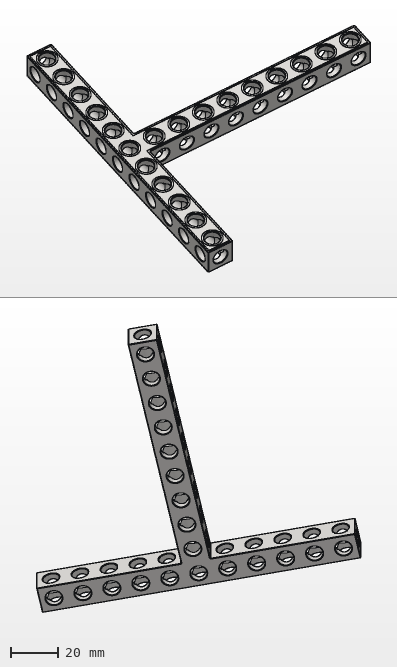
import cadquery as cq

bar_length = 137.5
bar_holes = 11
stem_holes = 10
pitch = bar_length / bar_holes
half_pitch = pitch / 2
height = pitch
stem_length = stem_holes * pitch

hole_diameter = 7.0
edge_chamfer = 0.3

rim_width = 1.0
panel_depth = 0.2
collar_diameter = 9.2

X_AXIS = cq.Vector(1, 0, 0)
Y_AXIS = cq.Vector(0, 1, 0)
Z_AXIS = cq.Vector(0, 0, 1)


def tee(inset, bottom, thickness):
    """T-shaped slab whose outline is drawn in by inset on every side."""
    width = pitch - 2 * inset
    base_centred = (True, True, False)
    bar = cq.Workplane("XY").box(bar_length - 2 * inset, width, thickness, centered=base_centred)
    stem_middle = (0, (stem_length - pitch) / 2, 0)
    stem = cq.Workplane("XY").box(width, stem_length - 2 * inset, thickness, centered=base_centred)
    return bar.union(stem.translate(stem_middle)).translate((0, 0, bottom))


def hole_cutter(start, axis, length):
    """Through hole from start along axis, with a chamfered mouth at both ends."""
    radius = hole_diameter / 2
    mouth_radius = radius + edge_chamfer
    end = start + axis * length
    bore = cq.Solid.makeCylinder(radius, length, start, axis)
    near_mouth = cq.Solid.makeCone(mouth_radius, radius, edge_chamfer, start, axis)
    far_mouth = cq.Solid.makeCone(mouth_radius, radius, edge_chamfer, end, axis * -1)
    return bore.fuse(near_mouth, far_mouth)


bar_columns = [(i - (bar_holes - 1) / 2) * pitch for i in range(bar_holes)]
stem_rows = [i * pitch for i in range(stem_holes)]
vertical_holes = [(x, 0) for x in bar_columns] + [(0, y) for y in stem_rows[1:]]

body = tee(0, 0, height).edges().chamfer(edge_chamfer)

panel = tee(rim_width, height - panel_depth, panel_depth)
collars = (
    cq.Workplane("XY")
    .workplane(offset=height - panel_depth)
    .pushPoints(vertical_holes)
    .circle(collar_diameter / 2)
    .extrude(panel_depth)
)
body = body.cut(panel.cut(collars))

for x, y in vertical_holes:
    body = body.cut(cq.Workplane(hole_cutter(cq.Vector(x, y, 0), Z_AXIS, height)))

for x in bar_columns:
    length = stem_length if x == 0 else pitch
    start = cq.Vector(x, -half_pitch, height / 2)
    body = body.cut(cq.Workplane(hole_cutter(start, Y_AXIS, length)))

for y in stem_rows:
    length = bar_length if y == 0 else pitch
    start = cq.Vector(-length / 2, y, height / 2)
    body = body.cut(cq.Workplane(hole_cutter(start, X_AXIS, length)))

result = cq.Workplane(body.solids().val())